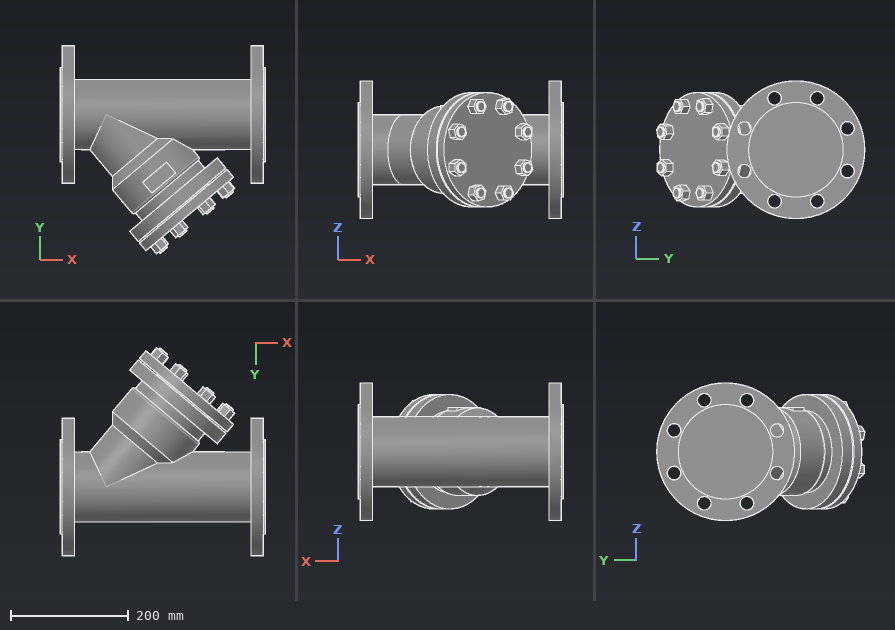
import cadquery as cq
import math


run_length = 350.0
pipe_diameter = 120.0

flange_diameter = 235.0
flange_thickness = 21.3
raised_face_diameter = 161.0
raised_face_height = 3.5
flange_hole_diameter = 22.7
flange_bolt_circle = 190.0
bolt_count = 8
bolt_pitch_angle = 360 / bolt_count
bolt_start_angle = bolt_pitch_angle / 2

branch_lean = 40.0
branch_origin_x = -96.2

neck_radius = pipe_diameter / 2
body_radius = 74.5
throat_radius = 70.0
body_end_radius = 4.3
cone_start = 87.5
cone_end = 104.7
body_end = 160.5
body_flange_start = 178.0
body_flange_end = 201.0
cover_start = 203.8
cover_end = 221.0
cover_radius = 97.5
gasket_radius = 56.0

cover_bolt_circle = 159.5
nut_across_flats = 24.0
nut_height = 15.5
nut_turn = 7.5
stud_diameter = 17.0
stud_length = 19.0
stud_chamfer = 0.7

pad_width = 53.3
pad_start = 128.0
pad_end = 152.3
pad_top = 75.5

lean = math.radians(branch_lean)
branch_direction = cq.Vector(math.sin(lean), -math.cos(lean), 0)
branch_across = cq.Vector(math.cos(lean), math.sin(lean), 0)
outer_end = cq.selectors.DirectionMinMaxSelector(branch_direction)


def branch_plane(distance):
    """Plane square to the branch axis: local x lies across the branch, local y is global Z."""
    origin = cq.Vector(branch_origin_x, 0, 0) + branch_direction * distance
    return cq.Plane(origin=origin, xDir=branch_across, normal=branch_direction)


def branch_disc(start, end, radius):
    return cq.Workplane(branch_plane(start)).circle(radius).extrude(end - start)


def make_pipe():
    length = run_length - 2 * raised_face_height
    return cq.Workplane("YZ").circle(pipe_diameter / 2).extrude(length / 2, both=True)


def make_end_flange():
    """Flange at the +X end, with its raised face outwards."""
    back = run_length / 2 - raised_face_height - flange_thickness
    disc = cq.Workplane("YZ", origin=(back, 0, 0)).circle(flange_diameter / 2).extrude(flange_thickness)
    raised_face = (
        disc.faces(">X").workplane()
        .circle(raised_face_diameter / 2)
        .extrude(raised_face_height, combine=False)
    )
    holes = (
        cq.Workplane("YZ", origin=(back, 0, 0))
        .polarArray(flange_bolt_circle / 2, bolt_start_angle, 360, bolt_count)
        .circle(flange_hole_diameter / 2)
        .extrude(flange_thickness)
    )
    return disc.union(raised_face).cut(holes)


def make_neck():
    """Neck of the pipe's own diameter, starting where the branch and pipe axes cross."""
    return branch_disc(0, cone_start, neck_radius)


def make_branch_body():
    """Cone widening from the neck, round-ended body, and the narrower throat below the flange."""
    cone = (
        cq.Workplane(branch_plane(cone_start)).circle(neck_radius)
        .workplane(offset=cone_end - cone_start).circle(body_radius)
        .loft()
    )
    body = branch_disc(cone_end, body_end, body_radius)
    body = body.faces(outer_end).edges().fillet(body_end_radius)
    throat = branch_disc(body_end, body_flange_start, throat_radius)
    return cone.union(body).union(throat)


def make_cover_joint():
    """Body flange and cover, held apart by a smaller gasket."""
    body_flange = branch_disc(body_flange_start, body_flange_end, cover_radius)
    gasket = branch_disc(body_flange_end, cover_start, gasket_radius)
    cover = branch_disc(cover_start, cover_end, cover_radius)
    return body_flange.union(gasket).union(cover)


def make_cover_bolt(angle):
    """Nut and stud end on the cover, standing at the given angle around the branch axis."""
    seat = cq.Workplane(branch_plane(cover_end)).transformed(rotate=(0, 0, angle))
    seat = seat.center(cover_bolt_circle / 2, 0).transformed(rotate=(0, 0, nut_turn))
    across_corners = nut_across_flats / math.cos(math.pi / 6)
    nut = seat.polygon(6, across_corners).extrude(nut_height)
    stud = seat.circle(stud_diameter / 2).extrude(stud_length)
    return nut.union(stud.faces(outer_end).chamfer(stud_chamfer))


def make_pad():
    """Flat-topped block rising from inside the body."""
    return (
        cq.Workplane(branch_plane(pad_start))
        .center(0, pad_top / 2)
        .rect(pad_width, pad_top)
        .extrude(pad_end - pad_start)
    )


end_flange = make_end_flange()
result = make_pipe().union(end_flange).union(end_flange.mirror("YZ"))
for branch_part in (make_neck(), make_branch_body(), make_cover_joint(), make_pad()):
    result = result.union(branch_part)
for index in range(bolt_count):
    result = result.union(make_cover_bolt(bolt_start_angle + index * bolt_pitch_angle))